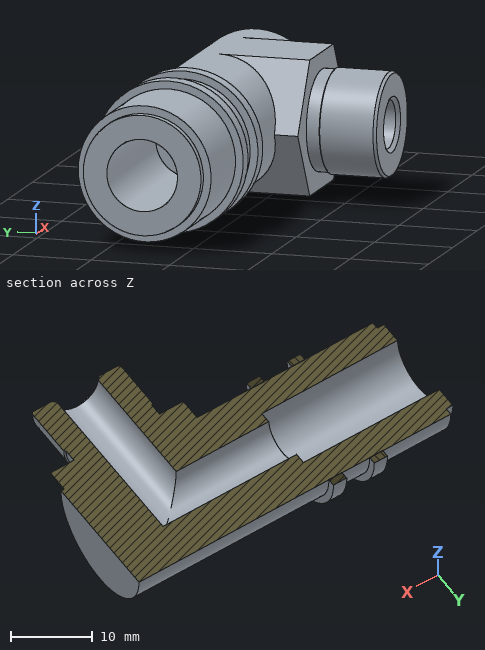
import cadquery as cq
import math

LENGTH = 47.0
BARREL_RADIUS = 8.5
NOSE_RADIUS = 7.5
NOSE_LENGTH = 1.0

PORT_X = 36.7
HEX_ACROSS_FLATS = 2 * BARREL_RADIUS
HEX_ACROSS_CORNERS = HEX_ACROSS_FLATS / math.cos(math.pi / 6)
HEX_END = 11.5

SPIGOT_END = 20.5
THREAD_RADIUS = 6.6
THREAD_START = 13.3
UNDERCUT_RADIUS = 6.35
UNDERCUT_TAPER = 0.15
TIP_CHAMFER_LENGTH = 0.38

BORE_RADIUS = 3.0
SOCKET_RADIUS = 4.5
SOCKET_DEPTH = 20.0
MOUTH_CHAMFER = 0.45

RING_RADIUS = 9.5
RING_WIDTH = 1.97
FIRST_RING_X = 11.0
RING_PITCH = 6.0
RING_COUNT = 2


def cylinder_along_x(radius, start, length):
    return cq.Workplane("YZ", origin=(start, 0, 0)).circle(radius).extrude(length)


def make_barrel():
    nose = cylinder_along_x(NOSE_RADIUS, 0, NOSE_LENGTH)
    return nose.union(cylinder_along_x(BARREL_RADIUS, NOSE_LENGTH, LENGTH - NOSE_LENGTH))


def make_hexagon():
    """Hexagonal block from the barrel axis outwards, with corners pointing along X."""
    return cq.Workplane("XZ", origin=(PORT_X, 0, 0)).polygon(6, HEX_ACROSS_CORNERS).extrude(HEX_END)


def make_spigot():
    """Revolved spigot; its profile lies in XY with radius along X."""
    profile = (
        cq.Workplane("XY", origin=(PORT_X, 0, 0))
        .moveTo(0, -HEX_END)
        .lineTo(UNDERCUT_RADIUS, -HEX_END)
        .lineTo(UNDERCUT_RADIUS, UNDERCUT_TAPER - THREAD_START)
        .lineTo(THREAD_RADIUS, -THREAD_START)
        .lineTo(THREAD_RADIUS, TIP_CHAMFER_LENGTH - SPIGOT_END)
        .lineTo(UNDERCUT_RADIUS, -SPIGOT_END)
        .lineTo(0, -SPIGOT_END)
        .close()
    )
    return profile.revolve(360, (0, 0, 0), (0, 1, 0))


def make_passage():
    """Mitred right-angle bore, the wider socket at the nose and the flared mouth of the spigot."""
    centre_line = cq.Workplane("XY").polyline([(0, 0), (PORT_X, 0), (PORT_X, -SPIGOT_END)])
    bore = cq.Workplane("YZ").circle(BORE_RADIUS).sweep(centre_line, transition="right")
    socket = cylinder_along_x(SOCKET_RADIUS, 0, SOCKET_DEPTH)
    flare = cq.Workplane(
        cq.Solid.makeCone(
            BORE_RADIUS + MOUTH_CHAMFER,
            BORE_RADIUS,
            MOUTH_CHAMFER,
            pnt=cq.Vector(PORT_X, -SPIGOT_END, 0),
            dir=cq.Vector(0, 1, 0),
        )
    )
    return bore.union(socket).union(flare)


def make_housing():
    return make_barrel().union(make_hexagon()).union(make_spigot()).cut(make_passage())


def make_ring(start):
    """Plain ring fitting closely around the barrel."""
    blank = cq.Workplane("YZ", origin=(start, 0, 0)).circle(RING_RADIUS).circle(BARREL_RADIUS)
    return blank.extrude(RING_WIDTH)


housing = make_housing()
rings = [make_ring(FIRST_RING_X + index * RING_PITCH) for index in range(RING_COUNT)]

result = cq.Compound.makeCompound([housing.solids().val(), *[ring.val() for ring in rings]])